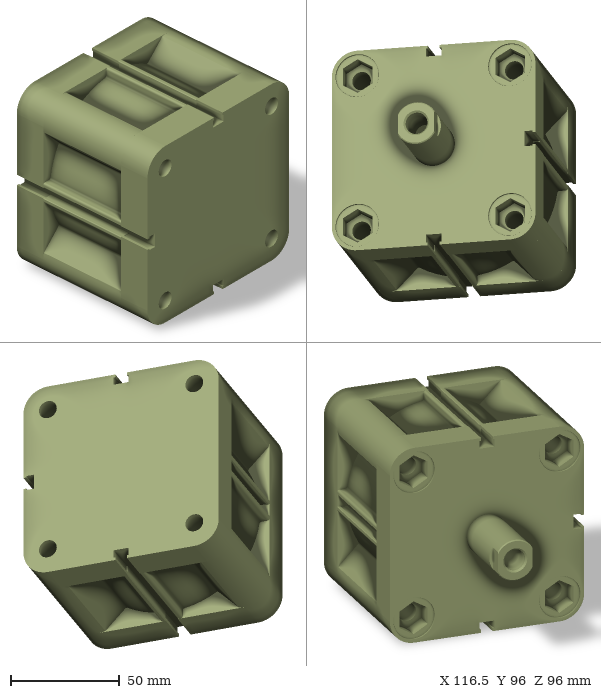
import cadquery as cq
import math


total_length = 116.5
rod_reach = 35.0
cap_length = 16.5
barrel_length = total_length - rod_reach - 2 * cap_length
square = 96.0
half_square = square / 2
corner_radius = 12.0
screw_offset = half_square - corner_radius

screw_hole_diameter = 8.7
hex_flats = 14.0
hex_depth = 8.6
recess_diameter = 20.5
recess_depth = 0.7
groove_inner_diameter = 19.9
groove_depth = 1.0

mouth_width = 5.7
mouth_depth = 1.4
slot_depth = 5.1
cap_slot_width = 7.2
barrel_slot_width = 6.5
mouth_chamfer = 0.3

shell_radius = 43.5
column_edge = 32.7
flank_angle = 45.0
flank_run = 12.8
rail_width = 10.7
section_fillet = 1.0

rod_diameter = 20.0
rod_chamfer = 0.5
rod_flats = 17.0
flat_length = 6.5
flat_runout = 0.5
rod_hole_diameter = 10.3
rod_hole_depth = 19.8
rod_hole_chamfer = 0.8
drill_point_angle = 118.0

MINUS_Y, TOP, PLUS_Y, BOTTOM = -90, 0, 90, 180
CAP_SLOT_SIDES = (MINUS_Y, TOP, BOTTOM)
ALL_SIDES = (MINUS_Y, TOP, PLUS_Y, BOTTOM)


def section_plane(x):
    """Plane across the cylinder at x, with local axes along Y and Z."""
    return cq.Workplane("YZ", origin=(x, 0, 0))


def turned(shape, angle):
    """Copy of a shape, turned about the cylinder axis."""
    return shape.rotate((0, 0, 0), (1, 0, 0), -angle)


def at_corners(x):
    return section_plane(x).rect(2 * screw_offset, 2 * screw_offset, forConstruction=True).vertices()


def slot_cutter(x, length, width, chamfer=0.0):
    """T-slot along the top side, with an optional chamfer on the mouth edges."""
    half_mouth = mouth_width / 2
    points = [
        (half_mouth + chamfer, half_square),
        (half_mouth, half_square - chamfer),
        (half_mouth, half_square - mouth_depth),
        (width / 2, half_square - mouth_depth),
        (width / 2, half_square - slot_depth),
    ]
    if not chamfer:
        points = points[1:]
    mirrored = [(-y, z) for y, z in reversed(points)]
    return section_plane(x).polyline(points + mirrored).close().extrude(length)


def make_cap(x):
    """Square end cap with round corners, screw holes and three slots."""
    cap = section_plane(x).rect(square, square).extrude(cap_length).edges("|X").fillet(corner_radius)
    cap = cap.cut(at_corners(x).circle(screw_hole_diameter / 2).extrude(cap_length))
    slot = slot_cutter(x, cap_length, cap_slot_width)
    for side in CAP_SLOT_SIDES:
        cap = cap.cut(turned(slot, side))
    return cap


def make_front_cap():
    """End cap with the rod bore, hex sockets and a grooved recess around each socket."""
    cap = make_cap(0)
    cap = cap.cut(section_plane(0).circle(rod_diameter / 2).extrude(cap_length))
    hex_diameter = hex_flats / math.cos(math.radians(30))
    socket = section_plane(0).polygon(6, hex_diameter).extrude(hex_depth).rotate((0, 0, 0), (1, 0, 0), 90)
    recess = section_plane(0).circle(recess_diameter / 2).extrude(groove_depth)
    head = section_plane(recess_depth).circle(groove_inner_diameter / 2).extrude(groove_depth)
    recess = recess.cut(head)
    for y in (-screw_offset, screw_offset):
        for z in (-screw_offset, screw_offset):
            cap = cap.cut(socket.translate((0, y, z))).cut(recess.translate((0, y, z)))
    return cap


def corner_column():
    """Round corner column at +Y +Z whose flanks slope down to the shell."""
    edge_height = screw_offset + math.sqrt(corner_radius**2 - (screw_offset - column_edge) ** 2)
    foot_near = column_edge - flank_run
    foot_far = edge_height - flank_run * math.tan(math.radians(flank_angle))
    crest = screw_offset + corner_radius * math.sqrt(0.5)
    return (
        section_plane(cap_length)
        .moveTo(foot_near, foot_far)
        .lineTo(column_edge, edge_height)
        .threePointArc((crest, crest), (edge_height, column_edge))
        .lineTo(foot_far, foot_near)
        .close()
        .extrude(barrel_length)
    )


def slot_rail():
    """Rail along the top side, with its two outer edges rounded."""
    return (
        section_plane(cap_length)
        .center(0, half_square / 2)
        .rect(rail_width, half_square)
        .extrude(barrel_length)
        .edges("|X and >Z")
        .fillet(section_fillet)
    )


def make_barrel():
    """Extruded barrel: round shell, four columns, four slotted rails."""
    barrel = section_plane(cap_length).circle(shell_radius).extrude(barrel_length)
    column = corner_column()
    rail = slot_rail()
    for side in ALL_SIDES:
        barrel = barrel.union(turned(column, side)).union(turned(rail, side))

    tolerance = 0.01
    roots = [
        edge
        for edge in barrel.edges("|X").vals()
        if abs(math.hypot(edge.Center().y, edge.Center().z) - shell_radius) < tolerance
    ]
    barrel = barrel.newObject(roots).fillet(section_fillet)

    slot = slot_cutter(cap_length, barrel_length, barrel_slot_width, mouth_chamfer)
    for side in ALL_SIDES:
        barrel = barrel.cut(turned(slot, side))
    return barrel.cut(at_corners(cap_length).circle(screw_hole_diameter / 2).extrude(barrel_length))


def make_rod():
    """Piston rod with wrench flats and a drilled, countersunk end hole."""
    tip = -rod_reach
    rod_radius = rod_diameter / 2
    rod = section_plane(tip).circle(rod_radius).extrude(rod_reach + cap_length)
    rod = rod.faces("<X").chamfer(rod_chamfer)

    flat_height = rod_flats / 2
    flat_end = tip + flat_length
    flat_cutter = (
        cq.Workplane("XY")
        .polyline([
            (tip, flat_height),
            (flat_end, flat_height),
            (flat_end + flat_runout, rod_radius),
            (tip, rod_radius),
        ])
        .close()
        .extrude(rod_radius, both=True)
    )
    rod = rod.cut(flat_cutter).cut(flat_cutter.mirror("XZ"))

    hole_radius = rod_hole_diameter / 2
    hole_end = tip + rod_hole_depth
    point_length = hole_radius / math.tan(math.radians(drill_point_angle / 2))
    hole = (
        cq.Workplane("XY")
        .polyline([
            (tip, 0),
            (tip, hole_radius + rod_hole_chamfer),
            (tip + rod_hole_chamfer, hole_radius),
            (hole_end, hole_radius),
            (hole_end + point_length, 0),
        ])
        .close()
        .revolve(360, (0, 0, 0), (1, 0, 0))
    )
    return rod.cut(hole)


front_cap = make_front_cap()
barrel = make_barrel()
rear_cap = make_cap(cap_length + barrel_length)
piston_rod = make_rod()

result = cq.Compound.makeCompound([front_cap.val(), barrel.val(), rear_cap.val(), piston_rod.val()])